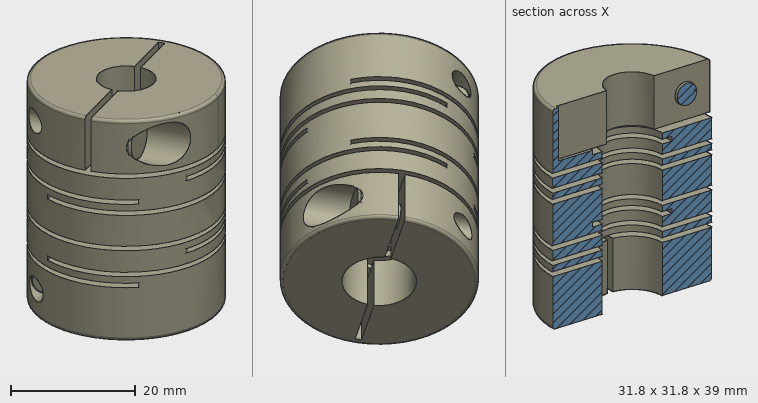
import cadquery as cq

length = 39.0
outer_diameter = 31.8
edge_rounding = 0.55
upper_bore_diameter = 9.5
lower_bore_diameter = 11.95

cut_height = 0.78
cut_reach = 7.88
cut_offsets = [9.67, 7.72, 5.07, 3.12]
cut_sides = [(0, -1), (0, 1), (-1, 0), (1, 0), (0, -1), (0, 1), (1, 0), (-1, 0)]

slot_width = 1.05
slot_reach = 14.65

screw_offset = 10.92
screw_inset = 4.75
shank_diameter = 3.98
head_diameter = 7.5
head_height = 3.98
head_top = 6.82
shank_end = 8.8
head_chamfer = 0.43
shank_chamfer = 0.3

outer_radius = outer_diameter / 2
overlap = outer_radius
hub_height = length / 2 - cut_offsets[0] - cut_height / 2
upper_hub_bottom = length - hub_height


def block(x_range, y_range, z_range):
    """Box spanning the given ranges."""
    (x0, x1), (y0, y1), (z0, z1) = x_range, y_range, z_range
    return cq.Workplane("XY").box(x1 - x0, y1 - y0, z1 - z0, centered=False).translate((x0, y0, z0))


def bored_body():
    """Rounded cylinder whose lower bore runs up to the upper hub."""
    body = cq.Workplane("XY").circle(outer_radius).extrude(length).edges().fillet(edge_rounding)
    upper_bore = cq.Workplane("XY").circle(upper_bore_diameter / 2).extrude(length)
    lower_bore = cq.Workplane("XY").circle(lower_bore_diameter / 2).extrude(upper_hub_bottom)
    return body.cut(upper_bore).cut(lower_bore)


def beam_cut(middle_z, side):
    """Flat cut open towards one side, ending in a straight wall beyond the axis."""
    def span(direction):
        if direction == 0:
            return (-overlap, overlap)
        return tuple(sorted((-direction * cut_reach, direction * overlap)))

    z_range = (middle_z - cut_height / 2, middle_z + cut_height / 2)
    return block(span(side[0]), span(side[1]), z_range)


def to_lower_hub(shape):
    """Half turn about the horizontal diagonal at mid-length, which swaps X with Y."""
    return shape.rotate((0, 0, length / 2), (0.4, 0.4, length / 2), 180)


def along_screw(diameter, start_x, end_x):
    """Cylinder on the upper screw's axis."""
    return (
        cq.Workplane("YZ", origin=(start_x, -screw_offset, length - screw_inset))
        .circle(diameter / 2)
        .extrude(end_x - start_x)
    )


def upper_hub_cutter():
    """Clamping slot with the screw hole and its counterbore."""
    slot = block(
        (-slot_width / 2, slot_width / 2),
        (-overlap, slot_reach),
        (upper_hub_bottom, length),
    )
    hole = along_screw(shank_diameter, -overlap, overlap)
    counterbore = along_screw(head_diameter, head_top - head_height, overlap)
    return slot.union(hole).union(counterbore)


def upper_screw():
    """Screw that fills its hole and counterbore, with chamfered ends."""
    shank = along_screw(shank_diameter, -shank_end, head_top).faces("<X").chamfer(shank_chamfer)
    head = along_screw(head_diameter, head_top - head_height, head_top).faces(">X").chamfer(head_chamfer)
    return shank.union(head)


coupling = bored_body()

cut_levels = [length / 2 + d for d in cut_offsets] + [length / 2 - d for d in reversed(cut_offsets)]
for level, open_side in zip(cut_levels, cut_sides):
    coupling = coupling.cut(beam_cut(level, open_side))

hub_cutter = upper_hub_cutter()
screw = upper_screw()
coupling = coupling.cut(hub_cutter).cut(to_lower_hub(hub_cutter))
coupling = coupling.union(screw).union(to_lower_hub(screw))

result = coupling